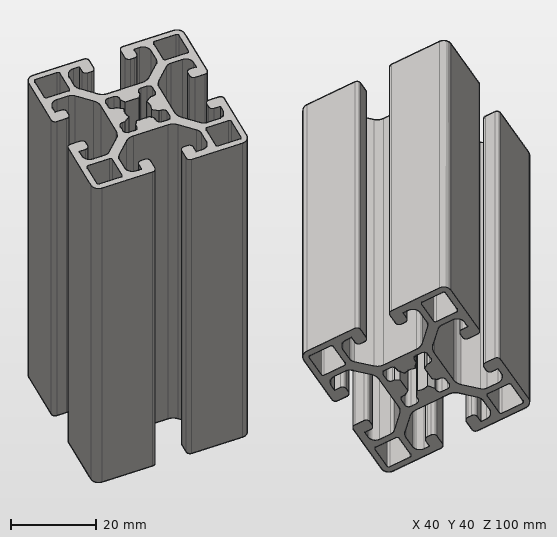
import cadquery as cq
import math

LENGTH = 100.0
SIDE = 40.0
HALF = SIDE / 2
CORNER_RADIUS = 2.0

MOUTH_HALF = 4.0
LIP_WIDTH = 3.0
LIP_DEPTH = 4.5
FLANGE = 1.9
CAVITY_HALF = 10.5
FLOOR = 7.5
WEB_OFFSET = 1.8
LIP_RADIUS = 1.0
LIP_INNER_RADIUS = 1.0
CAVITY_RADIUS = 2.0
WEB_RADIUS = 2.0
FLOOR_RADIUS = 3.0

HOLLOW = 6.5
HOLLOW_WALL = 1.5
HOLLOW_RADIUS = 0.5

CORE_HALF = 6.0
CORE_RADIUS = 1.0
BORE_RADIUS = 3.2
BOSS_HALF = 2.5
BOSS_SHOULDER = 4.4
BOSS_TIP_HALF = 1.4
FLAT_TIP = 3.3
FLAT_TIP_HALF = 1.8
BOSS_ROOT_RADIUS = 1.0


def fillet_at(solid, points, radius):
    """Round the upright edges that stand on the given points."""
    reach = 0.05
    edges = []
    for x, y in points:
        low = (x - reach, y - reach, -reach)
        high = (x + reach, y + reach, LENGTH + reach)
        edges += solid.edges("|Z").edges(cq.selectors.BoxSelector(low, high)).vals()
    return solid.newObject(edges).fillet(radius)


def turned(solid, angle):
    """Turn a solid about the profile axis."""
    return solid.rotate((0, 0, 0), (0, 0, 1), angle)


def mirrored(x, y):
    """A point and its mirror image across the YZ plane."""
    return [(x, y), (-x, y)]


def on_each_side(along, out):
    """The pair of points at +/-along on each of the four sides at distance out."""
    points = []
    for x, y in mirrored(along, out) + mirrored(along, -out):
        points += [(x, y), (y, x)]
    return points


def slot():
    """T-slot opening toward +Y, with sloped webs narrowing to the floor."""
    lip_end = HALF - LIP_DEPTH
    roof = HALF - FLANGE
    lip_back = MOUTH_HALF + LIP_WIDTH
    right = [
        (MOUTH_HALF, HALF),
        (MOUTH_HALF, lip_end),
        (lip_back, lip_end),
        (lip_back, roof),
        (CAVITY_HALF, roof),
        (CAVITY_HALF, CAVITY_HALF + WEB_OFFSET),
        (FLOOR - WEB_OFFSET, FLOOR),
    ]
    left = [(-x, y) for x, y in reversed(right)]
    body = cq.Workplane("XY").polyline(right + left).close().extrude(LENGTH)
    body = fillet_at(body, mirrored(MOUTH_HALF, lip_end), LIP_RADIUS)
    body = fillet_at(body, mirrored(lip_back, lip_end), LIP_INNER_RADIUS)
    body = fillet_at(body, mirrored(CAVITY_HALF, roof), CAVITY_RADIUS)
    body = fillet_at(body, mirrored(CAVITY_HALF, CAVITY_HALF + WEB_OFFSET), WEB_RADIUS)
    return fillet_at(body, mirrored(FLOOR - WEB_OFFSET, FLOOR), FLOOR_RADIUS)


def boss_flank(tip_half, tip):
    """Right flank of a screw boss on the +Y wall, from its tip to its root."""
    return [(tip_half, tip), (BOSS_HALF, BOSS_SHOULDER), (BOSS_HALF, CORE_HALF)]


def hollowed_boss():
    """Screw boss on the +Y wall, its tip cut to an arc by the bore."""
    tip = math.sqrt(BORE_RADIUS**2 - BOSS_TIP_HALF**2)
    flank = boss_flank(BOSS_TIP_HALF, tip)
    outline = cq.Workplane("XY").moveTo(-BOSS_TIP_HALF, tip)
    outline = outline.threePointArc((0, BORE_RADIUS), flank[0])
    for x, y in flank[1:] + [(-x, y) for x, y in reversed(flank[1:])]:
        outline = outline.lineTo(x, y)
    return outline.close().extrude(LENGTH)


def flat_boss():
    """Screw boss on the +Y wall with a flat tip."""
    flank = boss_flank(FLAT_TIP_HALF, FLAT_TIP)
    outline = flank + [(-x, y) for x, y in reversed(flank)]
    return cq.Workplane("XY").polyline(outline).close().extrude(LENGTH)


def core_hollow():
    """Square hollow along the profile axis, less the four bosses."""
    side = 2 * CORE_HALF
    hollow = cq.Workplane("XY").rect(side, side).extrude(LENGTH).edges("|Z").fillet(CORE_RADIUS)
    for angle in (0, 180):
        hollow = hollow.cut(turned(hollowed_boss(), angle))
        hollow = hollow.cut(turned(flat_boss(), angle + 90))
    return fillet_at(hollow, on_each_side(BOSS_HALF, CORE_HALF), BOSS_ROOT_RADIUS)


def corner_hollows():
    """Four square hollows, one in each corner."""
    pitch = 2 * (HALF - HOLLOW_WALL) - HOLLOW
    hollows = cq.Workplane("XY").rarray(pitch, pitch, 2, 2).rect(HOLLOW, HOLLOW).extrude(LENGTH)
    return hollows.edges("|Z").fillet(HOLLOW_RADIUS)


profile = cq.Workplane("XY").rect(SIDE, SIDE).extrude(LENGTH).edges("|Z").fillet(CORNER_RADIUS)
for quarter in range(4):
    profile = profile.cut(turned(slot(), 90 * quarter))
profile = fillet_at(profile, on_each_side(MOUTH_HALF, HALF), LIP_RADIUS)

result = profile.cut(core_hollow()).cut(corner_hollows())